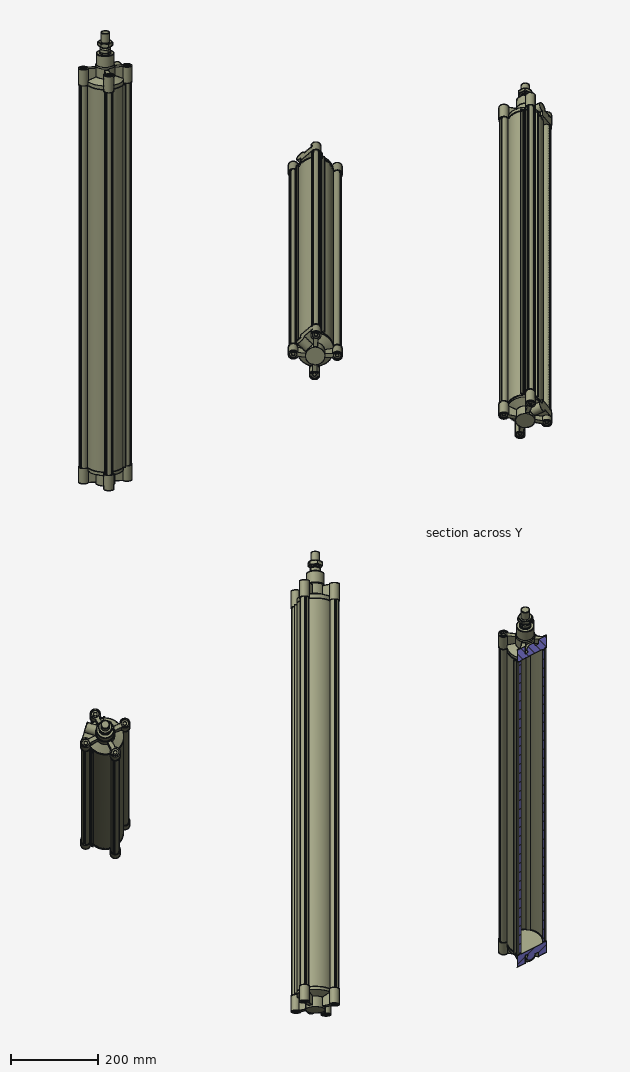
import cadquery as cq
import math

total_length = 1118.0
body_width = 95.0

rear_cover_start = 5.0
barrel_start = 43.0
barrel_end = 992.0
front_cover_end = 1032.0
collar_end = 1067.0
rod_shoulder = 1082.0

corner_pitch = 36.0
corner_diameter = body_width - 2 * corner_pitch
corner_hole_diameter = 8.5
corner_recess_diameter = 17.0
corner_recess_depth = 2.0
corner_hole_depth = 5.0
flange_diameter = 85.0
front_flange_thickness = 10.0
rear_flange_thickness = 8.0
cone_height = 9.0
hub_diameter = 45.0
web_thickness = 10.0
port_diameter = 25.0
port_depth = 15.0
port_offset = 2.0
collar_diameter = 41.0
hub_extension = 3.0
collar_taper = 3.0
collar_chamfer = 1.0
lip_diameter = 27.0
lip_height = 3.0

barrel_diameter = 85.0
bore_diameter = 80.0
lobe_diameter = 20.0
lobe_groove_width = 3.0
lobe_groove_depth = 3.0
rail_lip_width = 3.0
rail_near_offset = 17.0
rail_far_offset = 23.0
rail_near_reach = 45.0
rail_far_reach = 41.0

rod_diameter = 25.0
thread_diameter = 20.0
thread_chamfer = 1.0
shoulder_height = 3.0
rod_flats = 22.0
flats_length = 7.0
nut_sides = 6
nut_flats = 30.0
nut_start = 1085.0
nut_height = 10.0
nut_face_diameter = 29.0
nut_chamfer_angle = 30.0

corners = [(sx * corner_pitch, sy * corner_pitch) for sx in (-1, 1) for sy in (-1, 1)]


def cylinder(diameter, z_start, z_end):
    """Round bar on the cylinder axis between two levels."""
    return cq.Workplane("XY", origin=(0, 0, z_start)).circle(diameter / 2).extrude(z_end - z_start)


def turned(profile):
    """Solid of revolution about the cylinder axis from (radius, height) points."""
    return cq.Workplane("XZ").polyline(profile).close().revolve(360, (0, 0, 0), (0, 1, 0))


def make_port(axis_z):
    """Round port boss along +Y, with a block that fills the space to the web on its -X side."""
    boss = (
        cq.Workplane("XZ", origin=(port_offset, body_width / 2, axis_z))
        .circle(port_diameter / 2)
        .extrude(body_width / 2)
    )
    block = (
        cq.Workplane("XY")
        .polyline([
            (0, 0),
            (port_offset, 0),
            (port_offset, body_width / 2),
            (-corner_pitch, body_width / 2),
            (-corner_pitch, corner_pitch),
        ])
        .close()
        .extrude(axis_z)
    )
    return boss.union(block)


def make_cover(height, flange_thickness):
    """End cover standing on its flange at Z = 0: hub, cone, corner posts, webs and port."""
    hub_radius = hub_diameter / 2
    flange_radius = flange_diameter / 2
    cover = turned([
        (0, 0),
        (flange_radius, 0),
        (flange_radius, flange_thickness),
        (hub_radius, flange_thickness + cone_height),
        (hub_radius, height),
        (0, height),
    ])
    web_length = math.hypot(corner_pitch, corner_pitch)
    for x, y in corners:
        angle = math.degrees(math.atan2(y, x))
        web = cq.Workplane("XY").center(web_length / 2, 0).rect(web_length, web_thickness).extrude(height)
        cover = cover.union(web.rotate((0, 0, 0), (0, 0, 1), angle))
    cover = cover.union(make_port(height - port_depth))
    posts = cq.Workplane("XY").pushPoints(corners).circle(corner_diameter / 2).extrude(height)
    cover = cover.union(posts)
    end_face = cq.Workplane("XY", origin=(0, 0, height)).pushPoints(corners)
    cover = cover.cut(end_face.circle(corner_recess_diameter / 2).extrude(-corner_recess_depth))
    return cover.cut(end_face.circle(corner_hole_diameter / 2).extrude(-corner_hole_depth))


def make_front_cover():
    """Front cover with its collar and wiper lip, bored through for the piston rod."""
    hub_radius = hub_diameter / 2
    collar_radius = collar_diameter / 2
    lip_radius = lip_diameter / 2
    hub_end = front_cover_end + hub_extension
    cover = make_cover(front_cover_end - barrel_end, front_flange_thickness)
    cover = cover.translate((0, 0, barrel_end))
    collar = turned([
        (0, front_cover_end),
        (hub_radius, front_cover_end),
        (hub_radius, hub_end),
        (collar_radius, hub_end + collar_taper),
        (collar_radius, collar_end - collar_chamfer),
        (collar_radius - collar_chamfer, collar_end),
        (lip_radius, collar_end),
        (lip_radius, collar_end + lip_height),
        (0, collar_end + lip_height),
    ])
    return cover.union(collar).cut(cylinder(rod_diameter, barrel_end, total_length))


def make_rear_cover():
    """Rear cover, the mirror image of the front one, with a short centring spigot."""
    cover = make_cover(barrel_start - rear_cover_start, rear_flange_thickness)
    cover = cover.mirror("XY").translate((0, 0, barrel_start))
    return cover.union(cylinder(hub_diameter, 0, rear_cover_start))


def bar(x, y, x_size, y_size):
    """Rectangular bar as long as the barrel, centred on (x, y)."""
    base = cq.Workplane("XY", origin=(x, y, barrel_start))
    return base.rect(x_size, y_size).extrude(barrel_end - barrel_start)


def make_barrel():
    """Bored barrel with grooved corner lobes and two-lipped sensor rails on its -X, +X and +Y sides."""
    barrel = cylinder(barrel_diameter, barrel_start, barrel_end)
    for x, y in corners:
        barrel = barrel.union(cylinder(lobe_diameter, barrel_start, barrel_end).translate((x, y, 0)))
    rail = bar(rail_near_reach / 2, rail_near_offset, rail_near_reach, rail_lip_width)
    rail = rail.union(bar(rail_far_reach / 2, rail_far_offset, rail_far_reach, rail_lip_width))
    left_rail = rail.mirror("YZ")
    back_rail = rail.mirror("XZ").rotate((0, 0, 0), (0, 0, 1), 90)
    barrel = barrel.union(rail).union(left_rail).union(back_rail)
    lobe_edge = corner_pitch + lobe_diameter / 2
    for x, y in corners:
        edge_x = math.copysign(lobe_edge, x)
        edge_y = math.copysign(lobe_edge, y)
        x_groove = bar(edge_x, y, 2 * lobe_groove_depth, lobe_groove_width)
        y_groove = bar(x, edge_y, lobe_groove_width, 2 * lobe_groove_depth)
        barrel = barrel.cut(x_groove).cut(y_groove)
    return barrel.cut(cylinder(bore_diameter, barrel_start, barrel_end))


def make_rod():
    """Piston rod with wrench flats on its X sides and a plain stud in place of the thread."""
    shank_end = rod_shoulder - shoulder_height
    shank = turned([
        (0, barrel_end),
        (rod_diameter / 2, barrel_end),
        (rod_diameter / 2, shank_end),
        (thread_diameter / 2, rod_shoulder),
        (0, rod_shoulder),
    ])
    flat_section = cq.Workplane("XY", origin=(0, 0, shank_end - flats_length))
    for side in (-1, 1):
        cutter = flat_section.center(side * (rod_flats + rod_diameter) / 2, 0)
        shank = shank.cut(cutter.rect(rod_diameter, 2 * rod_diameter).extrude(flats_length))
    stud = cylinder(thread_diameter, rod_shoulder, total_length).faces(">Z").chamfer(thread_chamfer)
    return shank.union(stud)


def make_nut():
    """Hexagon nut with corners on the Y axis and both ends chamfered."""
    across_corners = nut_flats / math.cos(math.pi / nut_sides)
    prism = (
        cq.Workplane("XY", origin=(0, 0, nut_start))
        .polygon(nut_sides, across_corners)
        .extrude(nut_height)
        .rotate((0, 0, 0), (0, 0, 1), 90)
    )
    drop = (across_corners - nut_face_diameter) / 2 * math.tan(math.radians(nut_chamfer_angle))
    chamfer_body = turned([
        (0, 0),
        (nut_face_diameter / 2, 0),
        (across_corners / 2, drop),
        (across_corners / 2, nut_height - drop),
        (nut_face_diameter / 2, nut_height),
        (0, nut_height),
    ]).translate((0, 0, nut_start))
    hole = cylinder(thread_diameter, nut_start, nut_start + nut_height)
    return prism.intersect(chamfer_body).cut(hole)


barrel = make_barrel()
front_cover = make_front_cover()
rear_cover = make_rear_cover()
piston_rod = make_rod()
nut = make_nut()

bodies = [barrel, front_cover, rear_cover, piston_rod, nut]
result = cq.Compound.makeCompound([body.solids().val() for body in bodies])